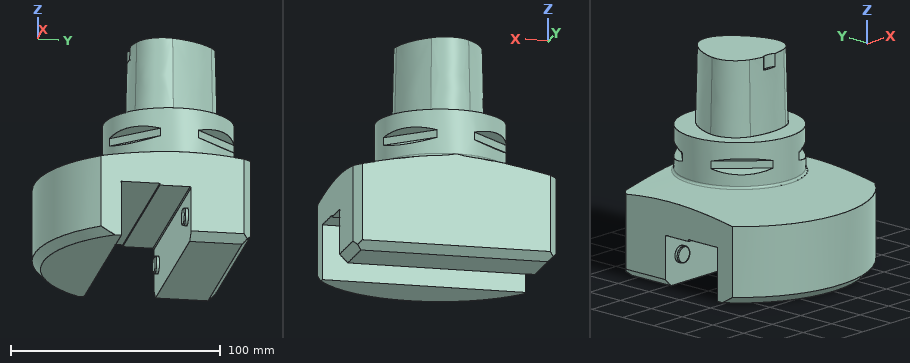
import cadquery as cq
import math

total_height = 109.0
collar_top = 71.0
rim_top = 39.2

base_radius = 65.0
base_width = 100.0
back_face = 31.5
edge_chamfer = 4.0
corner_chamfer = 3.8
cone_slope = math.radians(15)

collar_radius = 31.5
collar_fillet = 1.3
slot_flat_distance = 27.8
slot_flat_height = 3.7
slot_centre_height = 59.0
slot_flank_angle = math.radians(30)
slot_count = 4
slot_overshoot = 1.1

shank_flat_reach = 20.4
shank_lobe_reach = 23.5
shank_lobe_radius = 14.7
shank_taper = math.degrees(math.atan(1 / 40))
lobe_count = 3
front_direction = -90

notch_half_width = 3.9
notch_half_depth = 1.1
notch_centre = -19.2
notch_height = 6.5

channel_back = 2.1
channel_front = -31.7
channel_step = -13.1
seat_height = 26.0
relief_height = 26.9
seat_chamfer = 0.5

pin_radius = 8.5 / 2
pin_tip_length = 0.7
pin_tip_bevel = 0.3
pin_length = 2.1
pin_height = 14.4
pin_offset = 38.9


def turned_body():
    """Disc, cone and collar as one solid of revolution."""
    cone_top = rim_top + (base_radius - collar_radius) * math.tan(cone_slope)
    fillet_tangent = collar_fillet * math.tan((math.pi / 2 - cone_slope) / 2)
    fillet_centre = (collar_radius + collar_fillet, cone_top + fillet_tangent)
    mid_angle = math.pi + (math.pi / 2 - cone_slope) / 2
    fillet_middle = (
        fillet_centre[0] + collar_fillet * math.cos(mid_angle),
        fillet_centre[1] + collar_fillet * math.sin(mid_angle),
    )
    fillet_foot = (
        collar_radius + fillet_tangent * math.cos(cone_slope),
        cone_top - fillet_tangent * math.sin(cone_slope),
    )
    return (
        cq.Workplane("XZ")
        .lineTo(base_radius - edge_chamfer, 0)
        .lineTo(base_radius, edge_chamfer)
        .lineTo(base_radius, rim_top)
        .lineTo(*fillet_foot)
        .threePointArc(fillet_middle, (collar_radius, fillet_centre[1]))
        .lineTo(collar_radius, collar_top)
        .lineTo(0, collar_top)
        .close()
        .revolve(360, (0, 0, 0), (0, 1, 0))
    )


def block(y_min, y_max):
    """Straight-sided block over the full width, from the underside to the collar top."""
    return cq.Workplane("XY").box(
        base_width, y_max - y_min, collar_top, centered=(True, False, False)
    ).translate((0, y_min, 0))


def corner_wedge(side):
    """Upright wedge that bevels one rear corner; side is -1 or 1 along X."""
    corner_x = side * base_width / 2
    return (
        cq.Workplane("XY")
        .moveTo(corner_x, back_face)
        .lineTo(corner_x - side * corner_chamfer, back_face)
        .lineTo(corner_x, back_face - corner_chamfer)
        .close()
        .extrude(collar_top)
    )


def trimming_block():
    """Block that trims the turned body; only its rear part has chamfered edges."""
    rear = block(channel_back, back_face).faces("<Z").edges("not(<Y)").chamfer(edge_chamfer)
    for side in (-1, 1):
        rear = rear.cut(corner_wedge(side))
    return rear.union(block(-base_radius, channel_back))


def channel():
    """Stepped channel with a small chamfer in its rear upper corner."""
    return (
        cq.Workplane("YZ")
        .moveTo(channel_front, 0)
        .lineTo(channel_front, relief_height)
        .lineTo(channel_step, relief_height)
        .lineTo(channel_step, seat_height)
        .lineTo(channel_back - seat_chamfer, seat_height)
        .lineTo(channel_back, seat_height - seat_chamfer)
        .lineTo(channel_back, 0)
        .close()
        .extrude(base_width / 2, both=True)
    )


def gripper_slots():
    """Flat-bottomed slots with flared flanks, on the collar's diagonals."""
    mouth = collar_radius + slot_overshoot
    half_flat = slot_flat_height / 2
    half_mouth = half_flat + (mouth - slot_flat_distance) * math.tan(slot_flank_angle)
    slot = (
        cq.Workplane("XZ")
        .moveTo(slot_flat_distance, slot_centre_height - half_flat)
        .lineTo(mouth, slot_centre_height - half_mouth)
        .lineTo(mouth, slot_centre_height + half_mouth)
        .lineTo(slot_flat_distance, slot_centre_height + half_flat)
        .close()
        .extrude(collar_radius, both=True)
    )
    pitch = 360 / slot_count
    slots = cq.Workplane("XY")
    for index in range(slot_count):
        slots = slots.add(slot.rotate((0, 0, 0), (0, 0, 1), (index + 0.5) * pitch))
    return slots.combine()


def polar(radius, degrees):
    """X and Y of a point given by its distance and direction from the shank axis."""
    angle = math.radians(degrees)
    return (radius * math.cos(angle), radius * math.sin(angle))


def shank():
    """Tapered shank whose outline is three lobes joined by flatter tangent arcs."""
    lobe_centre = shank_lobe_reach - shank_lobe_radius
    pitch = 360 / lobe_count
    lobe_x, lobe_y = polar(lobe_centre, front_direction + pitch / 2)
    drop = lobe_y + shank_flat_reach
    flat_radius = (lobe_x**2 + drop**2 - shank_lobe_radius**2) / (2 * (drop - shank_lobe_radius))
    flat_centre_y = flat_radius - shank_flat_reach
    joint_angle = math.atan2(lobe_y - flat_centre_y, lobe_x)
    joint_x = lobe_x + shank_lobe_radius * math.cos(joint_angle)
    joint_y = lobe_y + shank_lobe_radius * math.sin(joint_angle)
    joint_reach = math.hypot(joint_x, joint_y)
    half_flat_angle = math.degrees(math.atan2(joint_x, -joint_y))

    outline = cq.Workplane("XY", origin=(0, 0, collar_top))
    outline = outline.moveTo(*polar(joint_reach, front_direction - half_flat_angle))
    for index in range(lobe_count):
        flat = front_direction + index * pitch
        flat_end = polar(joint_reach, flat + half_flat_angle)
        lobe_end = polar(joint_reach, flat + pitch - half_flat_angle)
        outline = outline.threePointArc(polar(shank_flat_reach, flat), flat_end)
        outline = outline.threePointArc(polar(shank_lobe_reach, flat + pitch / 2), lobe_end)
    return outline.close().extrude(total_height - collar_top, taper=shank_taper)


def orientation_notch():
    """Upright notch with an elliptical wall in the front of the shank."""
    return (
        cq.Workplane("XY", origin=(0, notch_centre, total_height - notch_height))
        .ellipse(notch_half_width, notch_half_depth)
        .extrude(notch_height)
    )


def clamping_pins():
    """Pair of short pins, bevelled at the tip."""
    return (
        cq.Workplane("XZ", origin=(0, channel_back, pin_height))
        .pushPoints([(-pin_offset, 0), (pin_offset, 0)])
        .circle(pin_radius)
        .extrude(pin_length)
        .faces("<Y")
        .chamfer(pin_tip_length, pin_tip_bevel)
    )


base = turned_body().intersect(trimming_block())
base = base.cut(channel()).cut(gripper_slots())
result = base.union(shank().cut(orientation_notch())).union(clamping_pins())